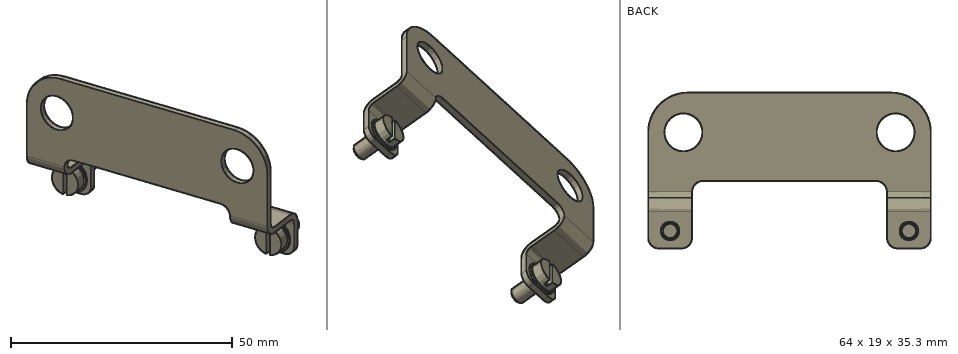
import cadquery as cq


bracket_width = 64.0
bracket_height = 35.3
bracket_depth = 13.0
sheet = 1.55
bend_inner_radius = 1.5
bend_outer_radius = bend_inner_radius + sheet
shelf_top_drop = 23.8
shelf_top = bracket_height - shelf_top_drop
shelf_bottom = shelf_top - sheet
tab_front = bracket_depth - sheet

top_corner_radius = 9.0
tab_width = 10.0
tab_corner_radius = 2.5
notch_top_drop = 20.0
notch_corner_radius = 2.5
notch_width = bracket_width - 2 * tab_width
notch_height = bracket_height - notch_top_drop

mount_hole_diameter = 8.5
mount_hole_spacing = 48.0
mount_hole_z = bracket_height - top_corner_radius

washer_diameter = 8.0
washer_thickness = 0.5

screw_xs = [side * (bracket_width - tab_width) / 2 for side in (-1, 1)]
screw_z = washer_diameter / 2
screw_diameter = 4.0
clearance_diameter = 4.2
screw_tip_y = 19.0
tip_chamfer = 0.4
head_diameter = 7.0
head_height = 2.55
slot_width = 0.95
slot_depth = 1.6
head_seat_y = tab_front - washer_thickness
head_front_y = head_seat_y - head_height


def cylinder_along_y(x, z, diameter, y_start, y_end):
    """Cylinder parallel to Y between two Y positions."""
    length = y_end - y_start
    return cq.Workplane(
        cq.Solid.makeCylinder(diameter / 2, length, cq.Vector(x, y_start, z), cq.Vector(0, 1, 0))
    )


def bent_sheet():
    """Full-width Z-shaped sheet: plate at the front, shelf, then tab at the back."""
    profile = (
        cq.Workplane("YZ", origin=(-bracket_width / 2, 0, 0))
        .moveTo(0, bracket_height)
        .lineTo(0, shelf_bottom + bend_outer_radius)
        .radiusArc((bend_outer_radius, shelf_bottom), -bend_outer_radius)
        .lineTo(tab_front - bend_inner_radius, shelf_bottom)
        .radiusArc((tab_front, shelf_bottom - bend_inner_radius), bend_inner_radius)
        .lineTo(tab_front, 0)
        .lineTo(bracket_depth, 0)
        .lineTo(bracket_depth, shelf_top - bend_outer_radius)
        .radiusArc((bracket_depth - bend_outer_radius, shelf_top), -bend_outer_radius)
        .lineTo(sheet + bend_inner_radius, shelf_top)
        .radiusArc((sheet, shelf_top + bend_inner_radius), bend_inner_radius)
        .lineTo(sheet, bracket_height)
        .close()
    )
    return profile.extrude(bracket_width)


def bracket_outline():
    """Block with the outline of the bracket: rounded top, and a notch that leaves two tabs."""
    block = (
        cq.Workplane("XY")
        .box(bracket_width, bracket_depth, bracket_height, centered=(True, False, False))
        .edges("|Y and >Z")
        .fillet(top_corner_radius)
    )
    notch = (
        cq.Workplane("XY")
        .box(notch_width, bracket_depth, notch_height, centered=(True, False, False))
        .edges("|Y and >Z")
        .fillet(notch_corner_radius)
    )
    return block.cut(notch).edges("|Y and <Z").fillet(tab_corner_radius)


def make_bracket():
    bracket = bent_sheet().intersect(bracket_outline())
    for side in (-1, 1):
        mount_hole_x = side * mount_hole_spacing / 2
        bracket = bracket.cut(cylinder_along_y(mount_hole_x, mount_hole_z, mount_hole_diameter, 0, sheet))
    for x in screw_xs:
        bracket = bracket.cut(cylinder_along_y(x, screw_z, clearance_diameter, tab_front, bracket_depth))
    return bracket


def make_washer(x):
    """Flat washer against the front of a tab."""
    disc = cylinder_along_y(x, screw_z, washer_diameter, head_seat_y, tab_front)
    return disc.cut(cylinder_along_y(x, screw_z, clearance_diameter, head_seat_y, tab_front))


def make_screw(x):
    """Screw with its head on the washer and its chamfered tip pointing to +Y."""
    shank = cylinder_along_y(x, screw_z, screw_diameter, head_seat_y, screw_tip_y)
    shank = shank.faces(">Y").chamfer(tip_chamfer)
    head = cylinder_along_y(x, screw_z, head_diameter, head_front_y, head_seat_y)
    slot = (
        cq.Workplane("XY")
        .box(slot_width, slot_depth, head_diameter, centered=(True, False, True))
        .translate((x, head_front_y, screw_z))
    )
    return head.union(shank).cut(slot)


bracket = make_bracket().solids().val()
washers = [make_washer(x).solids().val() for x in screw_xs]
screws = [make_screw(x).solids().val() for x in screw_xs]

result = cq.Compound.makeCompound([bracket, *washers, *screws])